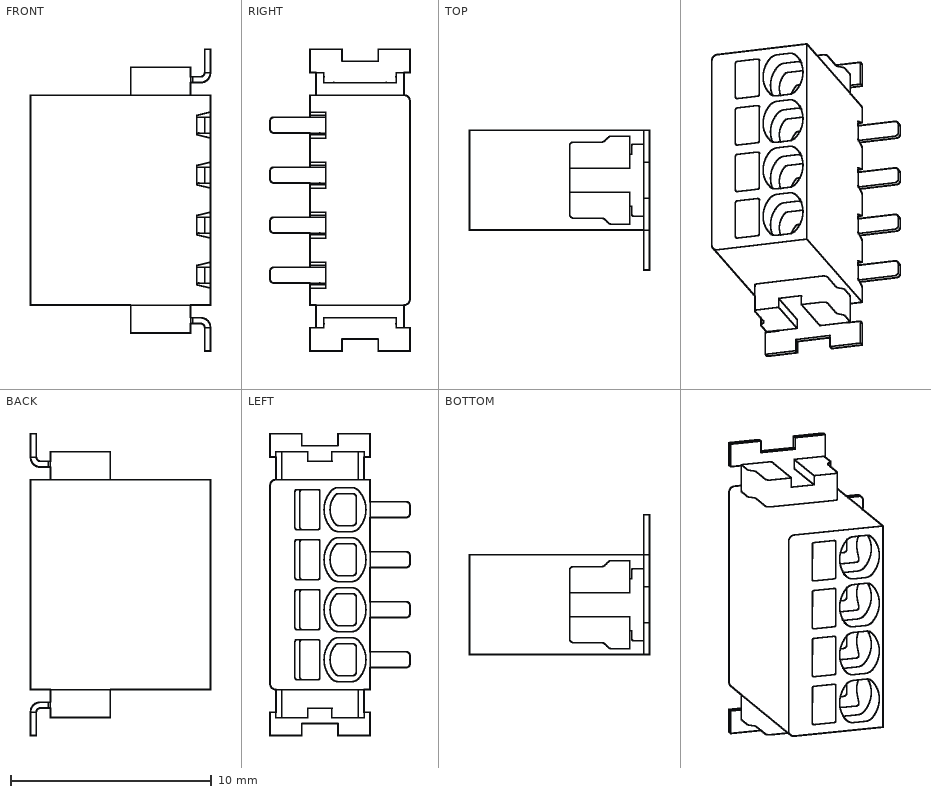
import cadquery as cq
import math

BODY_LENGTH = 9.0
BODY_DEPTH = 5.0
BODY_HEIGHT = 10.5
BODY_FILLET = 0.3
POLE_COUNT = 4
POLE_PITCH = 2.5

ENTRY_Y = 1.25
ENTRY_HALF_WIDTH = 1.05
ENTRY_HALF_HEIGHT = 1.1
ENTRY_SIDE_RADIUS = 1.4
ENTRY_CORNER_RADIUS = 0.5
BORE_NARROWING = 0.3
BORE_FLAT_Y = 0.68
ENTRY_MOUTH_DEPTH = 1.2
FUNNEL_WALL_ANGLE = 30
FUNNEL_NARROWING = BORE_FLAT_Y - (ENTRY_Y - ENTRY_HALF_WIDTH)
FUNNEL_DEPTH = FUNNEL_NARROWING / math.tan(math.radians(FUNNEL_WALL_ANGLE))
HOLE_DEPTH = 3.5

POCKET_Y_MIN = 2.5
POCKET_Y_MAX = 3.75
POCKET_HEIGHT = 2.0
POCKET_LEAD_IN = 0.25
POCKET_LEAD_DEPTH = 0.9
POCKET_CORNER_RADIUS = 0.1

BLOCK_X_MIN = 5.0
BLOCK_X_MAX = 8.0
BLOCK_HEIGHT = 1.4
BLOCK_NARROW_HALF = 1.9
BLOCK_WIDE_HALF = 2.2
BLOCK_RAMP_X = 6.7
BLOCK_CORNER_RADIUS = 0.2
BLOCK_RAMP_RADIUS = 0.24
BLOCK_RAMP_MARGIN = 0.2
BLOCK_SLOT_WIDTH = 1.2

SHEET = 0.3
STRAP_TOP = 0.92
STRAP_HALF_WIDTH = 1.8
STRAP_NECK_HALF_WIDTH = 1.3
STRAP_NECK_LENGTH = 0.1
STRAP_ROOT_LENGTH = 0.3
STRAP_CORNER_RADIUS = 0.1
STRAP_BEND_RADIUS = 0.2
TAB_WIDTH = 5.0
TAB_TOP = 2.3
TAB_NOTCH_WIDTH = 1.8
TAB_NOTCH_DEPTH = 0.6

PIN_WIDTH = 0.8
PIN_TIP_Y = -2.0
PIN_TIP_RADIUS = 0.2
PIN_BEND_START_Y = 0.2
PIN_BEND_RADIUS = 0.3
PIN_ROOT_X = 7.5

RECESS_LENGTH = 0.68
RECESS_DEPTH = 0.8
RECESS_INNER_HALF = 0.485
RECESS_OUTER_HALF = 0.65

BODY_Y_MID = BODY_DEPTH / 2
BODY_TOP = BODY_HEIGHT / 2
SHEET_INNER_X = BODY_LENGTH - SHEET


def box(x_min, x_max, y_min, y_max, z_min, z_max):
    size = (x_max - x_min, y_max - y_min, z_max - z_min)
    return cq.Workplane("XY").box(*size, centered=False).translate((x_min, y_min, z_min))


def make_body():
    body = box(0, BODY_LENGTH, 0, BODY_DEPTH, -BODY_TOP, BODY_TOP)
    return body.edges("|X and >Y").fillet(BODY_FILLET)


def arc_point(center_x, center_y, radius, angle):
    return (center_x + radius * math.cos(angle), center_y + radius * math.sin(angle))


def entry_outline(plane, narrowing, flat_y=None):
    """Oval with short flat ends; a flat_y makes its low-Y side straight."""
    half_width = ENTRY_HALF_WIDTH - narrowing
    half_height = ENTRY_HALF_HEIGHT - narrowing
    side_radius = ENTRY_SIDE_RADIUS - narrowing
    corner_radius = ENTRY_CORNER_RADIUS - narrowing
    side_center = half_width - side_radius
    corner_z = half_height - corner_radius
    join_angle = math.asin(corner_z / (side_radius - corner_radius))
    corner_offset = side_center + (side_radius - corner_radius) * math.cos(join_angle)

    high_center = ENTRY_Y + corner_offset
    high_side = ENTRY_Y + side_center
    middle_angle = (join_angle + math.pi / 2) / 2
    high_join = arc_point(high_side, 0, side_radius, join_angle)
    high_middle = arc_point(high_side, 0, side_radius, join_angle / 2)
    high_corner = arc_point(high_center, corner_z, corner_radius, middle_angle)

    if flat_y is None:
        low_center = ENTRY_Y - corner_offset
        low_end = (ENTRY_Y - half_width, 0)
        low_join = (2 * ENTRY_Y - high_join[0], high_join[1])
        low_middle = (2 * ENTRY_Y - high_middle[0], high_middle[1])
        low_corner = (2 * ENTRY_Y - high_corner[0], high_corner[1])
    else:
        low_center = flat_y + corner_radius
        low_end = (flat_y, 0)
        low_join = (flat_y, corner_z)
        low_middle = None
        low_corner = arc_point(low_center, corner_z, corner_radius, 3 * math.pi / 4)

    def mirrored(point):
        return (point[0], -point[1])

    outline = plane.moveTo(ENTRY_Y + half_width, 0)
    outline = outline.threePointArc(high_middle, high_join)
    outline = outline.threePointArc(high_corner, (high_center, half_height))
    outline = outline.lineTo(low_center, half_height)
    outline = outline.threePointArc(low_corner, low_join)
    if low_middle is None:
        outline = outline.lineTo(*low_end).lineTo(*mirrored(low_join))
    else:
        outline = outline.threePointArc(low_middle, low_end)
        outline = outline.threePointArc(mirrored(low_middle), mirrored(low_join))
    outline = outline.threePointArc(mirrored(low_corner), (low_center, -half_height))
    outline = outline.lineTo(high_center, -half_height)
    outline = outline.threePointArc(mirrored(high_corner), mirrored(high_join))
    outline = outline.threePointArc(mirrored(high_middle), (ENTRY_Y + half_width, 0))
    return outline.close()


def make_wire_entry():
    """Straight mouth, then a funnel that meets the narrower straight bore."""
    mouth_plane = cq.Workplane("YZ")
    funnel_start_plane = cq.Workplane("YZ", origin=(ENTRY_MOUTH_DEPTH, 0, 0))
    funnel_end_plane = cq.Workplane("YZ", origin=(ENTRY_MOUTH_DEPTH + FUNNEL_DEPTH, 0, 0))

    mouth = entry_outline(mouth_plane, 0).extrude(ENTRY_MOUTH_DEPTH)
    funnel_start = entry_outline(funnel_start_plane, 0).val()
    funnel_end = entry_outline(funnel_end_plane, FUNNEL_NARROWING).val()
    funnel = cq.Workplane(cq.Solid.makeLoft([funnel_start, funnel_end], True))
    bore = entry_outline(mouth_plane, BORE_NARROWING, BORE_FLAT_Y).extrude(HOLE_DEPTH)
    return mouth.union(funnel).union(bore)


def make_pocket():
    deep_y_max = POCKET_Y_MAX - POCKET_LEAD_IN
    pocket = (
        cq.Workplane("XY")
        .moveTo(0, POCKET_Y_MIN)
        .lineTo(HOLE_DEPTH, POCKET_Y_MIN)
        .lineTo(HOLE_DEPTH, deep_y_max)
        .lineTo(POCKET_LEAD_DEPTH, deep_y_max)
        .lineTo(0, POCKET_Y_MAX)
        .close()
        .extrude(POCKET_HEIGHT / 2, both=True)
    )
    long_edges = pocket.faces("<Z or >Z").edges("not(<X or >X)")
    return long_edges.fillet(POCKET_CORNER_RADIUS)


def make_pin_recess():
    inner_x = BODY_LENGTH - RECESS_LENGTH
    return (
        cq.Workplane("XZ")
        .moveTo(inner_x, -RECESS_INNER_HALF)
        .lineTo(BODY_LENGTH, -RECESS_OUTER_HALF)
        .lineTo(BODY_LENGTH, RECESS_OUTER_HALF)
        .lineTo(inner_x, RECESS_INNER_HALF)
        .close()
        .extrude(-RECESS_DEPTH)
    )


def make_pin():
    inner_y = PIN_BEND_START_Y + PIN_BEND_RADIUS
    outer_y = inner_y + SHEET
    pin = (
        cq.Workplane("XY")
        .moveTo(SHEET_INNER_X, PIN_TIP_Y)
        .lineTo(BODY_LENGTH, PIN_TIP_Y)
        .lineTo(BODY_LENGTH, PIN_BEND_START_Y)
        .radiusArc((SHEET_INNER_X - PIN_BEND_RADIUS, outer_y), -(PIN_BEND_RADIUS + SHEET))
        .lineTo(PIN_ROOT_X, outer_y)
        .lineTo(PIN_ROOT_X, inner_y)
        .lineTo(SHEET_INNER_X - PIN_BEND_RADIUS, inner_y)
        .radiusArc((SHEET_INNER_X, PIN_BEND_START_Y), PIN_BEND_RADIUS)
        .close()
        .extrude(PIN_WIDTH / 2, both=True)
    )
    return pin.faces("<Y").edges("|X").fillet(PIN_TIP_RADIUS)


def make_end_block():
    """Block standing on Z = 0, centred on Y = 0."""
    ramp_end_x = BLOCK_RAMP_X + BLOCK_WIDE_HALF - BLOCK_NARROW_HALF
    block = (
        cq.Workplane("XY")
        .moveTo(BLOCK_X_MIN, -BLOCK_NARROW_HALF)
        .lineTo(BLOCK_RAMP_X, -BLOCK_NARROW_HALF)
        .lineTo(ramp_end_x, -BLOCK_WIDE_HALF)
        .lineTo(BLOCK_X_MAX, -BLOCK_WIDE_HALF)
        .lineTo(BLOCK_X_MAX, BLOCK_WIDE_HALF)
        .lineTo(ramp_end_x, BLOCK_WIDE_HALF)
        .lineTo(BLOCK_RAMP_X, BLOCK_NARROW_HALF)
        .lineTo(BLOCK_X_MIN, BLOCK_NARROW_HALF)
        .close()
        .extrude(BLOCK_HEIGHT)
    )
    block = block.edges("|Z and <X").fillet(BLOCK_CORNER_RADIUS)
    ramp_edges = block.edges(
        cq.selectors.BoxSelector(
            (BLOCK_RAMP_X - BLOCK_RAMP_MARGIN, -BODY_DEPTH, 0),
            (ramp_end_x + BLOCK_RAMP_MARGIN, BODY_DEPTH, BLOCK_HEIGHT),
        )
    )
    block = ramp_edges.edges("|Z").fillet(BLOCK_RAMP_RADIUS)
    half_slot = BLOCK_SLOT_WIDTH / 2
    return block.cut(box(BLOCK_X_MIN, BLOCK_X_MAX, -half_slot, half_slot, STRAP_TOP, BLOCK_HEIGHT))


def make_solder_tab():
    """Strap from the end block, bent up into a notched tab; centred on Y = 0."""
    strap_bottom = STRAP_TOP - SHEET
    bend_x = SHEET_INNER_X - STRAP_BEND_RADIUS
    tab_bottom = STRAP_TOP + STRAP_BEND_RADIUS
    shoulder_x = BLOCK_X_MAX + STRAP_NECK_LENGTH

    strap = (
        cq.Workplane("XZ")
        .moveTo(shoulder_x, strap_bottom)
        .lineTo(bend_x, strap_bottom)
        .radiusArc((BODY_LENGTH, tab_bottom), -(STRAP_BEND_RADIUS + SHEET))
        .lineTo(SHEET_INNER_X, tab_bottom)
        .radiusArc((bend_x, STRAP_TOP), STRAP_BEND_RADIUS)
        .lineTo(shoulder_x, STRAP_TOP)
        .close()
        .extrude(STRAP_HALF_WIDTH, both=True)
    )
    strap = strap.faces("<X").edges("|Z").fillet(STRAP_CORNER_RADIUS)
    neck = box(
        BLOCK_X_MAX - STRAP_ROOT_LENGTH, shoulder_x,
        -STRAP_NECK_HALF_WIDTH, STRAP_NECK_HALF_WIDTH,
        strap_bottom, STRAP_TOP,
    )
    half_tab = TAB_WIDTH / 2
    half_notch = TAB_NOTCH_WIDTH / 2
    tab = box(SHEET_INNER_X, BODY_LENGTH, -half_tab, half_tab, tab_bottom, TAB_TOP)
    notch = box(SHEET_INNER_X, BODY_LENGTH, -half_notch, half_notch, TAB_TOP - TAB_NOTCH_DEPTH, TAB_TOP)
    return strap.union(neck).union(tab.cut(notch))


result = make_body()

for pole in range(POLE_COUNT):
    pole_center = (0, 0, (pole - (POLE_COUNT - 1) / 2) * POLE_PITCH)
    for cutter in (make_wire_entry(), make_pocket(), make_pin_recess()):
        result = result.cut(cutter.translate(pole_center))
    result = result.union(make_pin().translate(pole_center))

upper_end = make_end_block().union(make_solder_tab()).translate((0, BODY_Y_MID, BODY_TOP))
result = result.union(upper_end).union(upper_end.mirror("XY"))